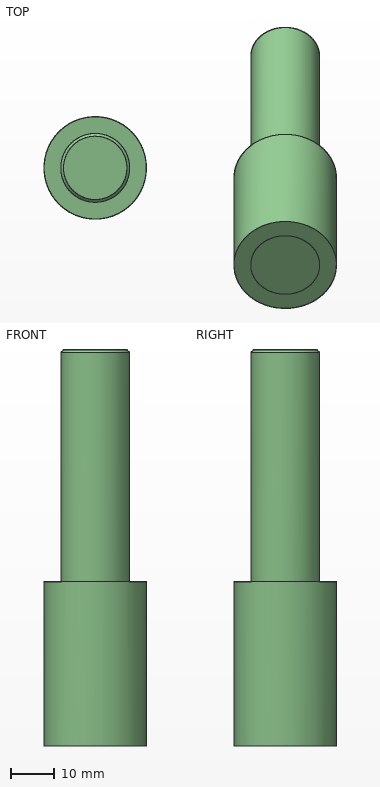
import cadquery as cq

total_length = 92.1
sleeve_diameter = 23.85
sleeve_length = 38.2
pin_diameter = 16.0
pin_chamfer = 0.6


def make_pin():
    """Full-length round pin with a chamfered top end."""
    pin = cq.Workplane("XY").circle(pin_diameter / 2).extrude(total_length)
    return pin.faces(">Z").edges().chamfer(pin_chamfer)


def make_sleeve():
    """Plain sleeve around the lower end of the pin, flush with its bottom."""
    return (
        cq.Workplane("XY")
        .circle(sleeve_diameter / 2)
        .circle(pin_diameter / 2)
        .extrude(sleeve_length)
    )


pin = make_pin()
sleeve = make_sleeve()

result = cq.Compound.makeCompound([pin.val(), sleeve.val()])